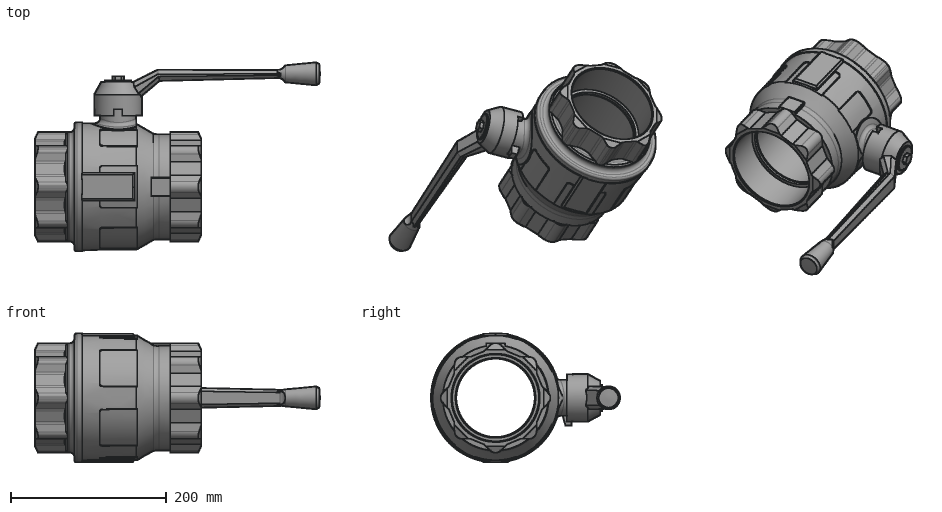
import cadquery as cq
import math


half_length = 107.0
hex_half_side = 52.8
hex_tip_fillet = 10.0
lobe_count = 8
valley_apothem = 61.0
valley_root_fillet = 9.0
end_face_apothem = 62.0
end_chamfer_length = 4.2
left_tip_fillet = 7.5
hex_tip_radius = hex_half_side * math.sqrt(2) - hex_tip_fillet * (math.sqrt(2) - 1)
left_hex_inner_x = -67.1
right_hex_inner_x = 66.9

flange_radius = 83.15
flange_fillet = 3.0
flange_left_x = -56.2
flange_right_x = -46.0
body_radius = 82.0
body_end_x = 23.5
body_end_radius = 81.0
collar_radius = 70.5
collar_bevel = 2.2
collar_end_x = -62.7
cove_radius = 3.3
flare_top_radius = 76.0
neck_radius = 67.8
cone_end_x = 45.0
cone_end_radius = 68.6
neck_start_x = 52.5

bore_radius = 50.3
socket_radius = 55.8
socket_depth = 46.0
mouth_radius = 57.0
mouth_depth = 1.5
seat_radius = 51.6
seat_depth = 4.0

pocket_count = 6
pocket_floor_radius = 80.2
pocket_start_x = -23.8
pocket_end_x = 40.0
pocket_half_angle = 19.3
pocket_corner_radius = 4.0
pocket_trim_angle = 5.0

label_start_x = -47.0
label_end_x = 21.3
label_half_width = 18.0
label_bevel = 2.6
label_top_z = 82.6
label_base_z = 70.0
neck_pad_start_x = 42.5
neck_pad_half_width = 12.2
neck_pad_base_z = 60.0
neck_pad_bevel = 1.0

stem_radius = 23.3
stem_base_y = 60.0
stem_fillet = 6.0
hub_radius = 30.9
hub_bottom_y = 91.7
hub_shoulder_y = 118.5
hub_top_y = 134.8
hub_top_radius = 22.0
skirt_depth = 7.8
notch_half_width = 5.3
washer_radius = 17.0
washer_top_y = 137.2
washer_teeth = 24
washer_tooth_depth = 1.0
bolt_flats = 13.2
bolt_top_y = 142.3

tab_half_thickness = 5.0
tab_tip_z = -35.6
tab_top_y = 97.8
tab_tip_bottom_y = 89.8
tab_root_bottom_y = 86.3

grip_axis_y = 145.3
grip_start_x = 214.8
grip_rim_x = 254.6
grip_end_x = 259.8
grip_start_radius = 11.1
grip_rim_radius = 243.36 - flange_radius - grip_axis_y
grip_face_radius = 12.5
grip_crown_x = 258.9
neck_end_x = 204.8
neck_end_radius = 9.2
arm_tip_x = 209.0
arm_tip_top_y = 150.4
arm_tip_bottom_y = 139.8
arm_tip_half_width = 10.6


def prism_x(outline, x_start, x_end):
    """Extrude a sketch function drawn in the YZ plane between two X positions."""
    return outline(cq.Workplane("YZ", origin=(x_start, 0, 0))).extrude(x_end - x_start)


def revolve_x(points):
    """Revolve an (x, radius) polyline about the X axis."""
    return cq.Workplane("XY").polyline(points).close().revolve(360, (0, 0, 0), (1, 0, 0))


def cylinder_x(radius, x_start, x_end):
    return prism_x(lambda plane: plane.circle(radius), x_start, x_end)


def octagon(plane, apothem):
    """Octagon with one flat facing each lobe direction (multiples of 45 degrees)."""
    corner_radius = apothem / math.cos(math.pi / lobe_count)
    angles = [(i + 0.5) * 2 * math.pi / lobe_count for i in range(lobe_count)]
    return plane.polyline([(corner_radius * math.cos(a), corner_radius * math.sin(a)) for a in angles]).close()


def is_valley_root(edge):
    """Whether an edge lies where a 45 degree lobe flank meets a valley flat."""
    half_step = math.pi / lobe_count
    half_width = (hex_half_side - valley_apothem * math.cos(half_step)) / math.sin(half_step)
    root_radius = math.hypot(valley_apothem, half_width)
    middle = edge.Center()
    return math.isclose(math.hypot(middle.y, middle.z), root_radius, abs_tol=0.05)


def lobed_end(outer_x, inner_x, tip_band=False, root_fillet=None):
    """Eight-lobed wrench grip with bevelled lobe tips at its outer end."""
    side = 2 * hex_half_side
    square = prism_x(lambda plane: plane.rect(side, side), outer_x, inner_x)
    if tip_band:
        square = square.intersect(cylinder_x(hex_tip_radius, outer_x, inner_x))
    square = square.edges("|X").fillet(left_tip_fillet if tip_band else hex_tip_fillet)
    step = 360 / lobe_count
    core = prism_x(lambda plane: octagon(plane, valley_apothem), outer_x, inner_x)
    core = core.rotate((0, 0, 0), (1, 0, 0), step / 2)
    lobes = core.union(square).union(square.rotate((0, 0, 0), (1, 0, 0), step))
    if root_fillet:
        lobes = lobes.edges("|X").filter(is_valley_root).fillet(root_fillet)

    inward = math.copysign(1, inner_x - outer_x)
    bevel_end_x = outer_x + inward * end_chamfer_length
    bevel = octagon(cq.Workplane("YZ", origin=(outer_x, 0, 0)), end_face_apothem)
    bevel = bevel.workplane(offset=inward * end_chamfer_length)
    bevel = octagon(bevel, hex_tip_radius + 0.2).loft(ruled=True)
    clear = hex_tip_radius + 10
    envelope = bevel.union(cylinder_x(clear, bevel_end_x, inner_x))
    return lobes.intersect(envelope)


def body_of_revolution():
    cove_start_x = left_hex_inner_x - cove_radius
    cove_low = valley_apothem - 0.2
    cove_bend = cove_radius * (1 - math.sqrt(0.5))
    flare_mid = ((collar_end_x + 3 * flange_left_x) / 4, (2 * collar_radius + flare_top_radius) / 3)
    shell = (
        cq.Workplane("XY")
        .moveTo(cove_start_x, 0)
        .lineTo(cove_start_x, cove_low)
        .threePointArc(
            (left_hex_inner_x - cove_bend, cove_low + cove_bend),
            (left_hex_inner_x, cove_low + cove_radius),
        )
        .lineTo(left_hex_inner_x, collar_radius - collar_bevel)
        .lineTo(left_hex_inner_x + collar_bevel, collar_radius)
        .lineTo(collar_end_x, collar_radius)
        .threePointArc(flare_mid, (flange_left_x, flare_top_radius))
        .lineTo(flange_left_x, flange_radius - flange_fillet)
        .radiusArc((flange_left_x + flange_fillet, flange_radius), flange_fillet)
        .lineTo(flange_right_x, flange_radius)
        .lineTo(flange_right_x, body_radius)
        .lineTo(body_end_x, body_end_radius)
        .lineTo(cone_end_x, cone_end_radius)
        .threePointArc(((cone_end_x + neck_start_x) / 2 - 1, neck_radius + 0.2), (neck_start_x, neck_radius))
        .lineTo(right_hex_inner_x, neck_radius)
        .lineTo(right_hex_inner_x, 0)
        .close()
        .revolve(360, (0, 0, 0), (1, 0, 0))
    )
    return shell


def pocket_cutter(angle, low_angle, high_angle):
    """Cutter for one shallow pocket centred at an angle from +Z about X, between two relative angles."""
    low_y = -body_radius * math.sin(math.radians(high_angle))
    high_y = -body_radius * math.sin(math.radians(low_angle))
    block = (
        cq.Workplane("XY")
        .box(pocket_end_x - pocket_start_x, high_y - low_y, 2 * pocket_floor_radius, centered=False)
        .translate((pocket_start_x, low_y, 0))
        .edges("|Z and <X")
        .fillet(pocket_corner_radius)
    )
    core = cylinder_x(pocket_floor_radius, pocket_start_x - 1, pocket_end_x + 1)
    return block.cut(core).rotate((0, 0, 0), (1, 0, 0), angle)


def pocket_span(angle):
    """Relative start and end angles of a pocket, shortened on the side next to the stem."""
    step = 360 / pocket_count
    low = high = pocket_half_angle
    if angle == 360 - step:
        low = pocket_trim_angle
    if angle == 180 + step:
        high = pocket_trim_angle
    return -low, high


def label_pad():
    """Bevelled flat pad standing just proud of the body on its +Z side."""
    length = label_end_x - label_start_x
    pad = (
        cq.Workplane("XY", origin=((label_start_x + label_end_x) / 2, 0, label_base_z))
        .rect(length, 2 * label_half_width)
        .extrude(label_top_z - label_base_z)
    )
    sides = pad.faces(">Z").edges("|X or >X")
    return sides.chamfer(label_bevel)


def neck_pad():
    length = right_hex_inner_x - neck_pad_start_x
    height = collar_radius - neck_pad_base_z
    pad = cq.Workplane("XY").box(length, 2 * neck_pad_half_width, height, centered=(False, True, False))
    return pad.faces(">Z").edges("|X").chamfer(neck_pad_bevel).translate((neck_pad_start_x, 0, neck_pad_base_z))


def through_bore():
    """Straight bore with a seat step, a socket and a chamfered mouth at each end."""
    socket_end = half_length - socket_depth
    seat_end = socket_end - seat_depth
    half_bore = revolve_x([
        (0, 0),
        (0, bore_radius),
        (seat_end, bore_radius),
        (seat_end, seat_radius),
        (socket_end, seat_radius),
        (socket_end, socket_radius),
        (half_length - mouth_depth, socket_radius),
        (half_length, mouth_radius),
        (half_length, 0),
    ])
    return half_bore.union(half_bore.mirror("YZ"))


def revolve_y(points):
    """Revolve a (radius, y) polyline about the stem axis."""
    return cq.Workplane("XY").polyline(points).close().revolve(360, (0, 0, 0), (0, 1, 0))


def stem():
    """Stem post, ending inside the hub above its skirt, with a filleted foot on the body cylinder."""
    saddle = cylinder_x(body_radius, label_start_x, 2 * body_end_x).rotate((0, 0, 0), (1, 0, 0), 180)
    post = xz_plane(stem_base_y).circle(stem_radius).extrude(hub_bottom_y + skirt_depth + 1 - stem_base_y)
    reach = stem_radius + 1
    foot = cq.selectors.BoxSelector((-reach, 0, -reach), (reach, body_radius + 1, reach), boundingbox=True)
    joined = saddle.union(post).edges(foot).fillet(stem_fillet)
    foot_radius = stem_radius + 2 * stem_fillet
    keep = xz_plane(stem_base_y).circle(foot_radius).extrude(hub_top_y - stem_base_y)
    beyond = cq.Workplane("XY").box(foot_radius, hub_top_y, 2 * foot_radius, centered=(False, False, True))
    return joined.intersect(keep).cut(beyond.translate((body_end_x, 0, 0)))


def hub():
    cap = revolve_y([
        (0, hub_bottom_y),
        (hub_radius, hub_bottom_y),
        (hub_radius, hub_shoulder_y),
        (hub_top_radius, hub_top_y),
        (0, hub_top_y),
    ])
    quarter = 2 * hub_radius
    corner = (notch_half_width - quarter, hub_bottom_y, notch_half_width - quarter)
    sweep_gap = cq.Workplane("XY").box(quarter, skirt_depth, quarter, centered=False).translate(corner)
    notch = (
        cq.Workplane("XY")
        .box(2 * notch_half_width, skirt_depth, quarter, centered=(True, False, False))
        .translate((0, hub_bottom_y, 0))
    )
    return cap.cut(sweep_gap).cut(notch)


def xz_plane(y):
    """Workplane facing +Y at a height along the stem."""
    return cq.Workplane(cq.Plane((0, y, 0), xDir=(1, 0, 0), normal=(0, 1, 0)))


def washer_and_bolt():
    radii = (washer_radius, washer_radius - washer_tooth_depth)
    outline = []
    for i in range(2 * washer_teeth):
        angle = i * math.pi / washer_teeth
        outline.append((radii[i % 2] * math.cos(angle), radii[i % 2] * math.sin(angle)))
    washer = xz_plane(hub_top_y).polyline(outline).close().extrude(washer_top_y - hub_top_y)
    across_corners = bolt_flats / math.cos(math.pi / 6)
    bolt = xz_plane(hub_top_y).polygon(6, across_corners).extrude(bolt_top_y - hub_top_y)
    return washer.union(bolt)


def stop_tab():
    outline = [
        (tab_top_y, 0),
        (tab_top_y, tab_tip_z),
        (tab_tip_bottom_y, tab_tip_z),
        (tab_root_bottom_y, -stem_radius),
        (tab_root_bottom_y, 0),
    ]
    return prism_x(lambda plane: plane.polyline(outline).close(), -tab_half_thickness, tab_half_thickness)


def arm_section(top, bottom, upper, lower, half_width, flat_half_width):
    """Eight-sided arm section; upper and lower are the side-face edges as fractions of the height."""
    def at(fraction, z):
        x, y = (t + fraction * (b - t) for t, b in zip(top, bottom))
        return cq.Vector(x, y, z)

    levels = [(0, flat_half_width), (upper, half_width), (lower, half_width), (1, flat_half_width)]
    points = [at(f, z) for f, z in levels] + [at(f, -z) for f, z in reversed(levels)]
    return cq.Wire.makePolygon(points, close=True)


def arm():
    root = arm_section((12, 131.2), (22, 109.7), 0.29, 0.77, 15.0, 10.0)
    bend = arm_section((50.6, 150.6), (53.2, 136.0), 0.38, 0.60, 14.0, 9.3)
    tip = arm_section(
        (arm_tip_x, arm_tip_top_y), (arm_tip_x, arm_tip_bottom_y), 0.5, 0.65, arm_tip_half_width, 6.8
    )
    rise = cq.Workplane(cq.Solid.makeLoft([root, bend], True))
    return rise.union(cq.Workplane(cq.Solid.makeLoft([bend, tip], True)))


def grip():
    handle = (
        revolve_x([
            (neck_end_x, 0),
            (neck_end_x, neck_end_radius),
            (grip_start_x, grip_start_radius),
            (grip_rim_x, grip_rim_radius),
            (grip_crown_x, grip_face_radius),
            (grip_end_x, 0),
        ])
        .translate((0, grip_axis_y, 0))
    )
    return handle.cut(grip_scoop(1)).cut(grip_scoop(-1))


def grip_scoop(side):
    """Concave relief that thins the grip down to the arm on its +Y or -Y side."""
    arm_half_height = (arm_tip_top_y - arm_tip_bottom_y) / 2
    rise = grip_start_radius - arm_half_height
    run = grip_start_x - neck_end_x
    near_y = grip_axis_y + side * arm_half_height
    far_y = grip_axis_y + side * grip_start_radius
    mid = (neck_end_x + 0.65 * run, near_y + side * 0.3 * rise)
    clear = 2 * grip_start_radius
    return (
        cq.Workplane("XY")
        .moveTo(neck_end_x - 1, near_y)
        .lineTo(neck_end_x, near_y)
        .threePointArc(mid, (grip_start_x, far_y))
        .lineTo(grip_start_x, far_y + side)
        .lineTo(neck_end_x - 1, far_y + side)
        .close()
        .extrude(clear, both=True)
    )


valve = body_of_revolution()
for i in range(pocket_count):
    pocket_angle = i * 360 / pocket_count
    valve = valve.cut(pocket_cutter(pocket_angle, *pocket_span(pocket_angle)))
valve = valve.union(label_pad()).union(label_pad().mirror("XY")).union(stem())
valve = valve.union(lobed_end(-half_length, left_hex_inner_x + collar_bevel, True, valley_root_fillet))
valve = valve.union(lobed_end(half_length, right_hex_inner_x))
valve = valve.union(neck_pad())
valve = valve.cut(through_bore())
valve = valve.union(hub()).union(washer_and_bolt()).union(stop_tab())
result = valve.union(arm()).union(grip())